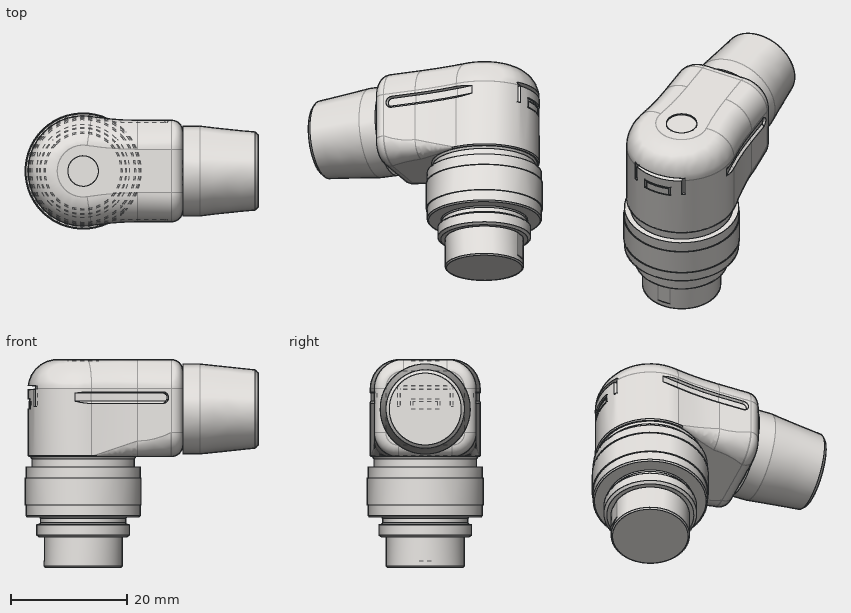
import cadquery as cq
import math


top_z = 35.8
housing_bottom_z = 19.1

head_radius = 9.5
arm_half_width = 8.75
arm_straight_x = 9.32
arm_end_x = 17.15
top_fillet = 5.02
arm_end_fillet = 1.95
head_bottom_chamfer = 0.2

width_step = head_radius - arm_half_width
blend_radius = (arm_straight_x**2 + arm_half_width**2 - head_radius**2) / (2 * width_step)
blend_center_y = arm_half_width + blend_radius
blend_angle = math.atan2(arm_straight_x, blend_center_y)

lower_round_start_x = 1.8
lower_round_start = 0.15
lower_round_middle = 2.7
lower_round_end_x = 15.1
lower_round_end = 4.15
round_steps = 4

nut_radius = 15.5 / 2
nut_axis_z = 27.3
nut_taper_x = 20.15
nut_chamfer_x = 29.6
nut_end_x = 30.2
nut_tip_radius = 13.5 / 2
nut_face_radius = 6.2

collar_radius = 17.7 / 2
collar_flare_height = 0.4
ring_rim_radius = 19.7 / 2
ring_grip_radius = 20.0 / 2
ring_top_z = 17.32
grip_top_z = 15.4
grip_bottom_z = 10.77
ring_bottom_z = 8.7
neck_radius = 15.0 / 2
neck_groove_radius = 7.35
flange_radius = 16.0 / 2
flange_top_z = 7.48
flange_bottom_z = 5.22
flange_upper_chamfer = 0.12
flange_lower_chamfer = 0.35
barrel_radius = 13.5 / 2
edge_break = 0.25

flat_width = 2.35
flat_bottom_z = 1.1

recess_top_z = 30.25
recess_bottom_z = 28.25
recess_depth = 0.45
recess_end_x = 14.7
recess_lead = 3.6
recess_upper_slope = 0.25
recess_lower_slope = 0.4

frame_half_width = 4.9
frame_top_z = 31.35
frame_bottom_z = 27.6
frame_bar = 0.72
frame_leg = 0.7
frame_depth = 1.6
frame_taper = 4.0
window_width = 5.05
window_top_z = 29.05
window_bottom_z = 27.33
window_depth = 0.3
tongue_width = 4.3
tongue_height = 1.3
tongue_setback = 0.14

badge_diameter = 5.25
badge_depth = 0.25

overlap = 0.8


def blend_point(angle, inset):
    """Point on the +Y blend arc, moved inwards by inset."""
    radius = blend_radius + inset
    return (arm_straight_x - radius * math.sin(angle), blend_center_y - radius * math.cos(angle))


def mirrored(point):
    return (point[0], -point[1])


def arm_side_y(x):
    """Half width of the housing at a place beside the blend or the arm."""
    if x >= arm_straight_x:
        return arm_half_width
    return blend_center_y - math.sqrt(blend_radius**2 - (arm_straight_x - x) ** 2)


def both_sides(solid):
    return solid.union(solid.mirror("XZ"))


def lower_round_section(x, radius):
    """Outside of a rounded lower edge, as a closed wire across the arm."""
    side = arm_side_y(x)
    bottom = housing_bottom_z
    diagonal = radius * (1 - math.sqrt(0.5))
    return (
        cq.Workplane("YZ", origin=(x, 0, 0))
        .moveTo(side, bottom + radius)
        .threePointArc((side - diagonal, bottom + diagonal), (side - radius, bottom))
        .lineTo(side - radius, bottom - overlap)
        .lineTo(side + overlap, bottom - overlap)
        .lineTo(side + overlap, bottom + radius)
        .close()
        .val()
    )


def lower_round_stretch(start_x, start_radius, end_x, end_radius, growth_power):
    """Loft along one stretch of the edge; the radius grows with a power of the travel."""
    sections = []
    for step in range(round_steps + 1):
        travel = step / round_steps
        x = start_x + (end_x - start_x) * travel
        radius = start_radius + (end_radius - start_radius) * travel**growth_power
        sections.append(lower_round_section(x, radius))
    return cq.Workplane(cq.Solid.makeLoft(sections))


def make_lower_round():
    beside_head = lower_round_stretch(
        lower_round_start_x, lower_round_start, arm_straight_x, lower_round_middle, growth_power=1
    )
    beside_arm = lower_round_stretch(
        arm_straight_x, lower_round_middle, lower_round_end_x, lower_round_end, growth_power=2
    )
    return beside_head.union(beside_arm)


def make_housing():
    tangent_point = blend_point(blend_angle, 0)
    middle_point = blend_point(blend_angle / 2, 0)
    body = (
        cq.Workplane("XY", origin=(0, 0, housing_bottom_z))
        .moveTo(lower_round_end_x, arm_half_width)
        .lineTo(arm_straight_x, arm_half_width)
        .threePointArc(middle_point, tangent_point)
        .threePointArc((-head_radius, 0), mirrored(tangent_point))
        .threePointArc(mirrored(middle_point), (arm_straight_x, -arm_half_width))
        .lineTo(lower_round_end_x, -arm_half_width)
        .close()
        .extrude(top_z - housing_bottom_z)
    )
    body = body.edges(">Z").edges("not >X").fillet(top_fillet)
    head_bottom_edge = cq.selectors.NearestToPointSelector((-head_radius, 0, housing_bottom_z))
    body = body.edges(head_bottom_edge).chamfer(head_bottom_chamfer)
    return body.cut(both_sides(make_lower_round()))


def make_arm_end():
    arm_end_length = arm_end_x - lower_round_end_x
    block = (
        cq.Workplane("XY", origin=(lower_round_end_x, 0, housing_bottom_z))
        .box(arm_end_length, 2 * arm_half_width, top_z - housing_bottom_z, centered=(False, True, False))
    )
    block = block.edges("|X and >Z").fillet(top_fillet)
    block = block.edges("|X and <Z").fillet(lower_round_end)
    return block.faces(">X").edges().fillet(arm_end_fillet)


def make_nut():
    return (
        cq.Workplane("XZ")
        .moveTo(arm_end_x - overlap, 0)
        .lineTo(arm_end_x - overlap, arm_half_width - arm_end_fillet)
        .lineTo(arm_end_x, arm_half_width - arm_end_fillet)
        .lineTo(arm_end_x, nut_radius)
        .lineTo(nut_taper_x, nut_radius)
        .lineTo(nut_chamfer_x, nut_tip_radius)
        .lineTo(nut_end_x, nut_face_radius)
        .lineTo(nut_end_x, 0)
        .close()
        .revolve(360, (0, 0, 0), (1, 0, 0))
        .translate((0, 0, nut_axis_z))
    )


def make_plug():
    profile = [
        (0, 0),
        (barrel_radius - edge_break, 0),
        (barrel_radius, edge_break),
        (barrel_radius, flange_bottom_z),
        (neck_radius, flange_bottom_z),
        (flange_radius, flange_bottom_z + flange_lower_chamfer),
        (flange_radius, flange_top_z - flange_upper_chamfer),
        (neck_radius, flange_top_z),
        (neck_groove_radius, flange_top_z + edge_break),
        (neck_groove_radius, ring_bottom_z - edge_break),
        (neck_radius, ring_bottom_z),
        (ring_rim_radius - edge_break, ring_bottom_z),
        (ring_rim_radius, ring_bottom_z + edge_break),
        (ring_rim_radius, grip_bottom_z),
        (ring_grip_radius, grip_bottom_z),
        (ring_grip_radius, grip_top_z),
        (ring_rim_radius, grip_top_z),
        (ring_rim_radius, ring_top_z),
        (collar_radius, ring_top_z),
        (collar_radius, housing_bottom_z - collar_flare_height),
        (collar_radius + edge_break, housing_bottom_z),
        (collar_radius + edge_break, housing_bottom_z + overlap),
        (0, housing_bottom_z + overlap),
    ]
    plug = cq.Workplane("XZ").polyline(profile).close().revolve(360, (0, 0, 0), (0, 1, 0))
    flat_x = -math.sqrt(barrel_radius**2 - (flat_width / 2) ** 2)
    flat_height = flange_bottom_z - flat_bottom_z
    flat_cutter = (
        cq.Workplane("XY", origin=(flat_x - overlap / 2, 0, flat_bottom_z))
        .box(overlap, flat_width, flat_height, centered=(True, True, False))
    )
    return plug.cut(flat_cutter)


def recess_layer(start_z, depth, height, taper=0):
    """Strip cut into the +Y side, following the housing outline at a depth."""
    start = blend_point(blend_angle, depth)
    lead_x = start[0] - recess_lead * math.cos(blend_angle)
    lead_y = start[1] + recess_lead * math.sin(blend_angle)
    outer_y = head_radius + recess_lead
    return (
        cq.Workplane("XY", origin=(0, 0, start_z))
        .moveTo(lower_round_end_x, arm_half_width - depth)
        .lineTo(arm_straight_x, arm_half_width - depth)
        .threePointArc(blend_point(blend_angle / 2, depth), start)
        .lineTo(lead_x, lead_y)
        .lineTo(lead_x, outer_y)
        .lineTo(lower_round_end_x, outer_y)
        .close()
        .extrude(height, taper=taper)
    )


def recess_outline():
    """Side outline of the recess, on the +Y face of the arm."""
    end_radius = (recess_top_z - recess_bottom_z) / 2
    end_center_x = recess_end_x - end_radius
    middle_z = recess_bottom_z + end_radius
    return (
        cq.Workplane("XZ", origin=(0, arm_half_width, 0))
        .moveTo(-recess_lead, recess_bottom_z)
        .lineTo(end_center_x, recess_bottom_z)
        .threePointArc((recess_end_x, middle_z), (end_center_x, recess_top_z))
        .lineTo(-recess_lead, recess_top_z)
        .close()
    )


def make_recess():
    """Finger recess with sloped upper and lower walls and a round cable end."""
    floor_top_z = recess_top_z - recess_upper_slope
    floor_bottom_z = recess_bottom_z + recess_lower_slope
    upper_taper = math.degrees(math.atan2(recess_depth, recess_upper_slope))
    lower_taper = math.degrees(math.atan2(recess_depth, recess_lower_slope))
    strip = (
        recess_layer(floor_bottom_z, recess_depth, floor_top_z - floor_bottom_z)
        .union(recess_layer(floor_top_z, recess_depth, recess_upper_slope, upper_taper))
        .union(recess_layer(floor_bottom_z, recess_depth, -recess_lower_slope, lower_taper))
    )
    end_taper = math.degrees(math.atan2(recess_upper_slope, recess_depth))
    below_surface = recess_outline().extrude(recess_depth, taper=end_taper)
    above_surface = recess_outline().extrude(-recess_lead)
    return strip.intersect(below_surface.union(above_surface))


def make_latch_frame():
    """Tapered groove shaped like an upside-down U, entering the head along +X."""
    inner_half_width = frame_half_width - frame_leg
    outline = [
        (-frame_half_width, frame_bottom_z),
        (-frame_half_width, frame_top_z),
        (frame_half_width, frame_top_z),
        (frame_half_width, frame_bottom_z),
        (inner_half_width, frame_bottom_z),
        (inner_half_width, frame_top_z - frame_bar),
        (-inner_half_width, frame_top_z - frame_bar),
        (-inner_half_width, frame_bottom_z),
    ]
    return (
        cq.Workplane("YZ", origin=(-head_radius, 0, 0))
        .polyline(outline)
        .close()
        .extrude(frame_depth, taper=frame_taper)
    )


def back_slab(width, bottom_z, height, depth):
    """Slab behind the head whose inner face is a cylinder depth below the surface."""
    slab = (
        cq.Workplane("XY", origin=(-head_radius - overlap, 0, bottom_z))
        .box(head_radius, width, height, centered=(False, True, False))
    )
    core = cq.Workplane("XY", origin=(0, 0, bottom_z)).circle(head_radius - depth).extrude(height)
    return slab.cut(core)


def make_latch_window():
    """Shallow pocket with a lower tongue left standing in it."""
    window = back_slab(window_width, window_bottom_z, window_top_z - window_bottom_z, window_depth)
    tongue_room = back_slab(tongue_width, window_bottom_z, tongue_height, tongue_setback)
    tongue_block = back_slab(tongue_width, window_bottom_z, tongue_height, window_depth)
    return window.cut(tongue_block.cut(tongue_room))


def make_badge():
    return cq.Workplane("XY", origin=(0, 0, top_z - badge_depth)).circle(badge_diameter / 2).extrude(overlap)


housing = make_housing().union(make_arm_end())
housing = housing.cut(both_sides(make_recess()))
housing = housing.cut(make_latch_frame()).cut(make_latch_window()).cut(make_badge())
result = housing.union(make_nut()).union(make_plug())